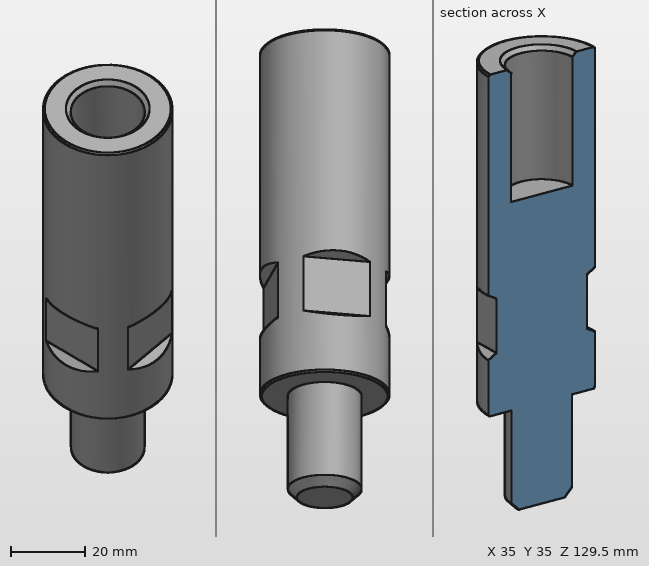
import cadquery as cq
import math

total_length = 129.5
body_diameter = 35.0
body_length = 100.0
body_edge_chamfer = 0.5
shoulder_z = total_length - body_length

pin_diameter = 20.0
pin_chamfer = 2.5

bore_diameter = 20.0
bore_depth = 38.8
bore_mouth_diameter = 22.5

flat_count = 4
across_flats = 29.8
flat_bottom_z = 47.7
flat_top_z = 63.5
flat_end_angle = 30.0
flat_end_run = (body_diameter - across_flats) / 2 * math.tan(math.radians(flat_end_angle))


def make_shaft():
    body = (
        cq.Workplane("XY")
        .workplane(offset=shoulder_z)
        .circle(body_diameter / 2)
        .extrude(body_length)
        .faces("<Z or >Z")
        .edges()
        .chamfer(body_edge_chamfer)
    )
    pin = (
        cq.Workplane("XY")
        .circle(pin_diameter / 2)
        .extrude(shoulder_z)
        .faces("<Z")
        .chamfer(pin_chamfer)
    )
    return body.union(pin)


def make_bore():
    bore_radius = bore_diameter / 2
    mouth_radius = bore_mouth_diameter / 2
    mouth_depth = mouth_radius - bore_radius
    return (
        cq.Workplane("XZ")
        .moveTo(0, total_length)
        .lineTo(mouth_radius, total_length)
        .lineTo(bore_radius, total_length - mouth_depth)
        .lineTo(bore_radius, total_length - bore_depth)
        .lineTo(0, total_length - bore_depth)
        .close()
        .revolve(360, (0, 0, 0), (0, 1, 0))
    )


def make_flat_cutter():
    inner_x = across_flats / 2
    outer_x = body_diameter / 2
    return (
        cq.Workplane("XZ")
        .moveTo(inner_x, flat_bottom_z)
        .lineTo(outer_x, flat_bottom_z - flat_end_run)
        .lineTo(outer_x, flat_top_z + flat_end_run)
        .lineTo(inner_x, flat_top_z)
        .close()
        .extrude(body_diameter / 2, both=True)
    )


result = make_shaft().cut(make_bore())
for index in range(flat_count):
    flat_angle = index * 360 / flat_count
    result = result.cut(make_flat_cutter().rotate((0, 0, 0), (0, 0, 1), flat_angle))